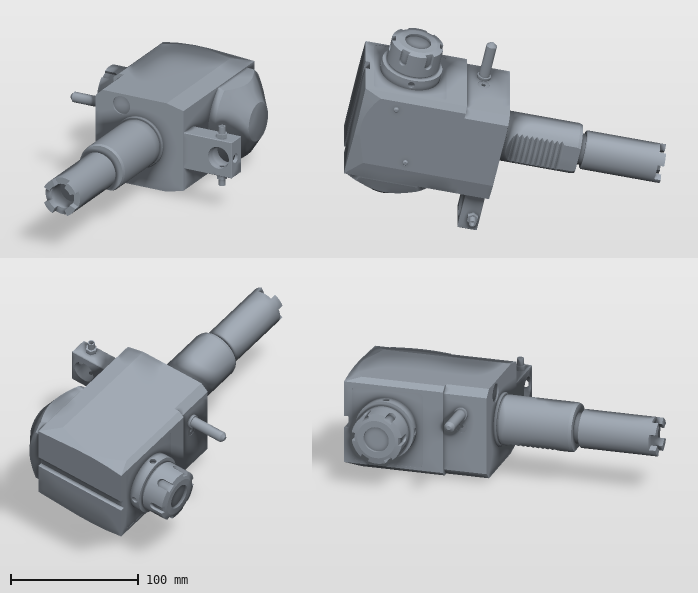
import cadquery as cq
import math


overlap = 2.5

body_length = 116.0
body_half_height = 37.5
body_right = 39.2
body_left = -42.0
facet_start = 24.1
facet_drop = 3.7
rear_chamfer_x = 4.7
rear_chamfer_z = 3.7
step_left = -39.2
step_length = 35.0
step_chamfer_x = 6.2
step_chamfer_z = 5.7
bevel_rise = 0.22
arch_tangent_z = 36.5
arch_mid = (-19.7, 36.5)
key_half_width = 5.0
key_depth = 3.7
plug_center = (-16.0, 27.8)
plug_radius = 7.6
plug_depth = 1.5
pad_length = 58.0
pad_height = 63.0
pad_corner = 5.0
mark_depth = 0.2
foot_places = [(-30.0, 89.0), (16.7, 71.7)]
foot_radius = 2.1
foot_height = 1.7
foot_chamfer = 0.7

spindle_y = 80.3
flange_radius = 24.0
flange_outer = -50.5
flange_hole_radius = 2.7
flange_hole_depth = 3.7
flange_hole_count = 4
groove_radius = 19.7
nut_inner = -52.0
nut_radius = 20.7
nut_shoulder = -70.5
nut_end = -72.0
nut_face_radius = 15.5
nut_bore_radius = 10.3
nut_bore_depth = 2.5
nut_slot_count = 6
nut_slot_width = 6.6
nut_slot_depth = 3.0
nut_slot_length = 11.5

cap_radius = 40.1
cap_rim = 45.0
cap_end = 62.0
cap_end_radius = 15.8
cap_back = 111.5
cap_flat_half_height = 32.8
cap_flat_end = 41.0
cap_flat_slope = 0.24

pin_y = 21.0
pin_z = 16.5
pin_radius = 4.2
pin_length = 32.8
pin_tip_radius = 1.7
pin_tip_length = 2.5
pin_collar_radius = 5.5
pin_collar_height = 2.2
screw_z = 6.0
screw_radius = 5.0
screw_socket_size = 4.0
screw_socket_depth = 2.5

arm_end = 81.8
arm_front = 0.7
arm_back = 16.3
arm_half_height = 15.3
arm_chamfer = 0.5
arm_hole_x = 70.0
arm_hole_diameter = 18.5
nipple_y = 6.6
nipple_hex_size = 9.0
nipple_hex_height = 3.7
nipple_radius = 2.7
nipple_height = 9.5
nipple_bore_radius = 2.0
arm_end_hole_radius = 4.0

collar_radius = 21.5
collar_length = 2.0
collar_chamfer = 0.7
relief_radius = 19.2
relief_end = 3.5
shank_radius = 20.0
shank_end = 62.8
shank_chamfer_length = 2.5
shank_chamfer = 0.7
neck_radius = 12.3
tail_start = 66.7
tail_diameter = 30.8
tail_radius = tail_diameter / 2
tail_chamfer = 0.7
crown_start = 125.0
overall_length = 246.2
crown_end = overall_length - body_length
crown_bore_radius = 10.0
crown_bore_depth = 19.7
crown_slot_count = 4
crown_slot_angle = 50
rack_z = 16.5
rack_ramp_start = 5.5
rack_ramp_end = 8.9
tooth_count = 10
rack_length = 36.0
tooth_pitch = rack_length / (tooth_count - 1)
tooth_depth = 1.7
first_notch = 11.5


def box(x, y, z):
    """Box between the (low, high) limits on each axis."""
    size = (x[1] - x[0], y[1] - y[0], z[1] - z[0])
    return cq.Workplane("XY").box(*size, centered=False).translate((x[0], y[0], z[0]))


def x_plane(x, y, z):
    """Workplane facing -X."""
    return cq.Workplane(cq.Plane(origin=(x, y, z), xDir=(0, -1, 0), normal=(-1, 0, 0)))


def mirrored_pair(solid):
    return solid.union(solid.mirror("XY"))


def housing_block(left, chamfer_x, chamfer_z, start, end):
    top = body_half_height
    upper = [
        (left, top - chamfer_z),
        (left + chamfer_x, top),
        (facet_start, top),
        (body_right, top - facet_drop),
    ]
    lower = [(x, -z) for x, z in reversed(upper)]
    block = cq.Workplane("XZ").polyline(upper + lower).close().extrude(start - end)
    return block.translate((0, start, 0))


def back_bevel():
    """Material above the arched back edge, swept forward and upward."""
    ceiling = 2 * body_half_height
    profile = (
        cq.Workplane("XZ", origin=(0, body_length, 0))
        .moveTo(body_right, body_half_height - facet_drop)
        .lineTo(0, arch_tangent_z)
        .threePointArc(arch_mid, (body_left, body_half_height - rear_chamfer_z))
        .lineTo(body_left, ceiling)
        .lineTo(body_right, ceiling)
        .close()
    )
    run = body_length / 2
    direction = cq.Vector(0, -run, run * bevel_rise)
    return cq.Workplane(cq.Solid.extrudeLinear(profile.val(), [], direction))


def housing():
    body = housing_block(body_left, rear_chamfer_x, rear_chamfer_z, step_length, body_length)
    body = body.union(housing_block(step_left, step_chamfer_x, step_chamfer_z, 0, step_length))
    body = body.cut(mirrored_pair(back_bevel()))
    body = body.cut(
        box(
            (body_left, body_right),
            (body_length - key_depth, body_length),
            (-key_half_width, key_half_width),
        )
    )
    plug = cq.Workplane("XZ").center(*plug_center).circle(plug_radius).extrude(-plug_depth)
    pad = x_plane(body_left, spindle_y, 0).rect(pad_length, pad_height).extrude(-mark_depth)
    pad = pad.edges("|X").fillet(pad_corner)
    feet = (
        cq.Workplane("XY", origin=(0, 0, -body_half_height - foot_height))
        .pushPoints(foot_places)
        .circle(foot_radius)
        .extrude(2 * foot_height)
        .faces("<Z")
        .chamfer(foot_chamfer)
    )
    return body.cut(plug).cut(pad).union(feet)


def spindle_nose():
    profile = [
        (body_left + overlap, 0),
        (body_left + overlap, flange_radius),
        (flange_outer, flange_radius),
        (flange_outer, groove_radius),
        (nut_inner, groove_radius),
        (nut_inner, nut_radius),
        (nut_shoulder, nut_radius),
        (nut_end, nut_face_radius),
        (nut_end, nut_bore_radius),
        (nut_end + nut_bore_depth, nut_bore_radius),
        (nut_end + nut_bore_depth, 0),
    ]
    nose = cq.Workplane("XY").polyline(profile).close().revolve(360, (0, 0, 0), (1, 0, 0))
    slot_end = nut_shoulder + nut_slot_length
    slot = (
        cq.Workplane("XY", origin=(0, 0, nut_radius - nut_slot_depth))
        .center((nut_end + slot_end) / 2 - nut_slot_width, 0)
        .slot2D(slot_end - nut_end + 2 * nut_slot_width, nut_slot_width)
        .extrude(2 * nut_slot_depth)
    )
    for i in range(nut_slot_count):
        angle = 90 + i * 360 / nut_slot_count
        nose = nose.cut(slot.rotate((0, 0, 0), (1, 0, 0), angle))
    hole = (
        cq.Workplane("XY", origin=((body_left + flange_outer) / 2, 0, flange_radius - flange_hole_depth))
        .circle(flange_hole_radius)
        .extrude(2 * flange_hole_depth)
    )
    for i in range(flange_hole_count):
        nose = nose.cut(hole.rotate((0, 0, 0), (1, 0, 0), i * 360 / flange_hole_count))
    return nose.translate((0, spindle_y, 0))


def rear_cap():
    profile = [
        (body_right - overlap, 0),
        (body_right - overlap, cap_radius),
        (cap_rim, cap_radius),
        (cap_end, cap_end_radius),
        (cap_end, 0),
    ]
    cap = cq.Workplane("XY").polyline(profile).close().revolve(360, (0, 0, 0), (1, 0, 0))
    cap = cap.translate((0, spindle_y, 0))
    end_half_height = cap_flat_half_height - cap_flat_slope * (cap_end - cap_flat_end)
    upper = [
        (body_right - overlap, cap_flat_half_height),
        (cap_flat_end, cap_flat_half_height),
        (cap_end, end_half_height),
    ]
    lower = [(x, -z) for x, z in reversed(upper)]
    envelope = cq.Workplane("XZ").polyline(upper + lower).close().extrude(-cap_back)
    return cap.intersect(envelope)


def pin():
    collar = x_plane(step_left, pin_y, pin_z).circle(pin_collar_radius).extrude(pin_collar_height)
    rod = x_plane(step_left, pin_y, pin_z).circle(pin_radius).extrude(pin_length)
    rod = rod.faces("<X").chamfer(pin_tip_length, pin_radius - pin_tip_radius)
    return collar.union(rod)


def screw_recess():
    seat = x_plane(step_left, pin_y, screw_z)
    rim = seat.circle(screw_radius).extrude(-mark_depth)
    return rim.union(seat.polygon(6, screw_socket_size).extrude(-screw_socket_depth))


def coolant_arm():
    arm = box((body_right, arm_end), (arm_front, arm_back), (-arm_half_height, arm_half_height))
    arm = arm.faces("<Y or >Y or >X").edges("not <X").chamfer(arm_chamfer)
    base = cq.Workplane("XY", origin=(arm_hole_x, nipple_y, arm_half_height))
    nipple = base.polygon(6, nipple_hex_size).extrude(nipple_hex_height)
    nipple = nipple.union(base.circle(nipple_radius).extrude(nipple_height))
    arm = arm.union(mirrored_pair(nipple))
    reach = arm_half_height + nipple_height
    bore = base.workplane(offset=-arm_half_height).circle(nipple_bore_radius).extrude(reach, both=True)
    eye = (
        cq.Workplane("XZ", origin=(arm_hole_x, 0, 0))
        .circle(arm_hole_diameter / 2)
        .extrude(-2 * arm_back)
    )
    end_hole = x_plane(arm_end, nipple_y, 0).circle(arm_end_hole_radius).extrude(arm_end - arm_hole_x)
    return arm.cut(bore).cut(eye).cut(end_hole)


def shank():
    profile = [
        (0, overlap),
        (collar_radius, overlap),
        (collar_radius, collar_chamfer - collar_length),
        (collar_radius - collar_chamfer, -collar_length),
        (relief_radius, -collar_length),
        (relief_radius, -relief_end),
        (shank_radius, -relief_end),
        (shank_radius, shank_chamfer_length - shank_end),
        (shank_radius - shank_chamfer, -shank_end),
        (neck_radius, -shank_end),
        (neck_radius, -tail_start),
        (tail_radius - tail_chamfer, -tail_start),
        (tail_radius, -tail_start - tail_chamfer),
        (tail_radius, -crown_end),
        (crown_bore_radius, -crown_end),
        (crown_bore_radius, crown_bore_depth - crown_end),
        (0, crown_bore_depth - crown_end),
    ]
    return cq.Workplane("XY").polyline(profile).close().revolve(360, (0, 0, 0), (0, 1, 0))


def crown_slots():
    """Wedges between the driving teeth at the shank tip."""
    reach = 2 * tail_radius
    half_width = reach * math.tan(math.radians(crown_slot_angle / 2))
    wedge = (
        cq.Workplane("XZ", origin=(0, -crown_end, 0))
        .polyline([(0, 0), (-half_width, reach), (half_width, reach)])
        .close()
        .extrude(crown_start - crown_end)
    )
    slots = wedge
    for i in range(1, crown_slot_count):
        slots = slots.union(wedge.rotate((0, 0, 0), (0, 1, 0), i * 360 / crown_slot_count))
    return slots


def rack_cut():
    """Flat with V notches under the shank, entered by a ramp."""
    floor = -2 * shank_radius
    points = [(-rack_ramp_start, floor), (-rack_ramp_start, -shank_radius), (-rack_ramp_end, -rack_z)]
    for i in range(tooth_count):
        notch = -first_notch - i * tooth_pitch
        points.append((notch + tooth_pitch / 2, -rack_z))
        points.append((notch, tooth_depth - rack_z))
    points.append((notch - tooth_pitch / 2, -rack_z))
    points.append((-shank_end, -rack_z))
    points.append((-shank_end, floor))
    profile = cq.Workplane("YZ").polyline(points).close()
    return profile.extrude(shank_radius, both=True)


result = (
    housing()
    .union(spindle_nose())
    .union(rear_cap())
    .union(pin())
    .cut(screw_recess())
    .union(coolant_arm())
    .union(shank().cut(crown_slots()).cut(rack_cut()))
)